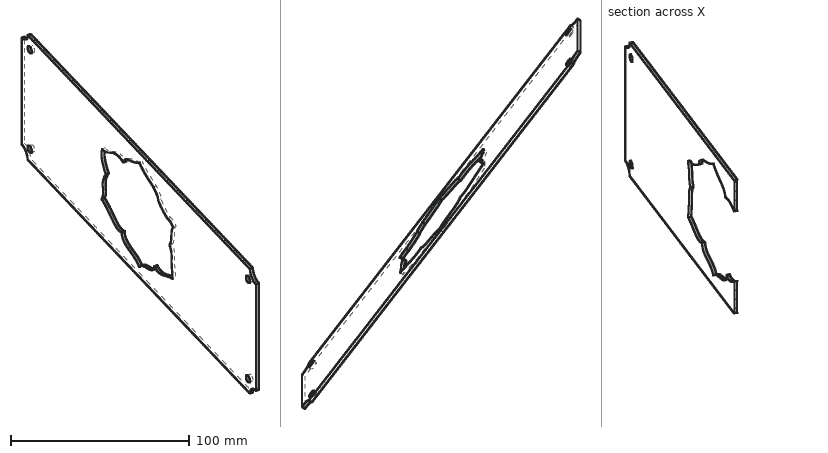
import cadquery as cq

length = 257.3
thickness = 2.0
height = 89.5

hole_diameter = 4.5
hole_inset_x = 8.7
hole_inset_z = 9.0
corner_radius = 6.5

top_tip = (0.5, 37.5)
rim_stretches = [
    [(5.0, 34.7), (10.5, 32.5), (16.2, 30.5)],
    [(19.3, 28.3), (21.0, 26.0), (21.0, 24.7)],
    [(24.7, 21.9), (31.5, 18.5)],
    [(35.2, 18.3), (37.5, 16.5)],
    [(35.8, 9.5), (34.7, 3.0), (33.7, 1.3)],
    [(35.8, -2.8), (36.0, -11.0), (36.8, -17.5), (37.0, -20.8)],
    [(30.4, -23.7), (24.0, -26.5), (17.0, -25.7)],
    [(14.7, -30.0), (8.5, -32.7), (3.5, -34.5), (0.5, -37.5)],
    [(-3.0, -35.0), (-9.5, -33.2), (-16.7, -30.4), (-18.5, -27.8), (-18.5, -25.7)],
    [(-23.7, -26.5), (-31.0, -22.6), (-35.5, -19.5), (-41.0, -17.2)],
    [(-39.4, -13.0), (-39.4, -3.3), (-38.3, -0.3), (-36.3, 3.9)],
    [(-39.5, 9.3), (-41.0, 14.2), (-40.1, 19.3)],
    [(-37.5, 19.3), (-33.0, 21.5), (-27.5, 25.0), (-23.2, 26.2), (-17.0, 25.5)],
    [(-14.7, 29.3), (-10.3, 31.6), (-3.9, 34.5), top_tip],
]


def prism(sketch):
    """Extrude an XZ sketch through the plate, centred on Y = 0."""
    return sketch.extrude(thickness / 2, both=True)


def corner_scallops():
    corners = cq.Workplane("XZ").rect(length, height, forConstruction=True).vertices()
    return prism(corners.circle(corner_radius))


def mounting_holes():
    spacing_x = length - 2 * hole_inset_x
    spacing_z = height - 2 * hole_inset_z
    centres = cq.Workplane("XZ").rect(spacing_x, spacing_z, forConstruction=True).vertices()
    return prism(centres.circle(hole_diameter / 2))


def flower_opening():
    rim = cq.Workplane("XZ").moveTo(*top_tip)
    for stretch in rim_stretches:
        rim = rim.spline(stretch, includeCurrent=True)
    return prism(rim.close())


plate = prism(cq.Workplane("XZ").rect(length, height))
result = plate.cut(corner_scallops()).cut(mounting_holes()).cut(flower_opening())